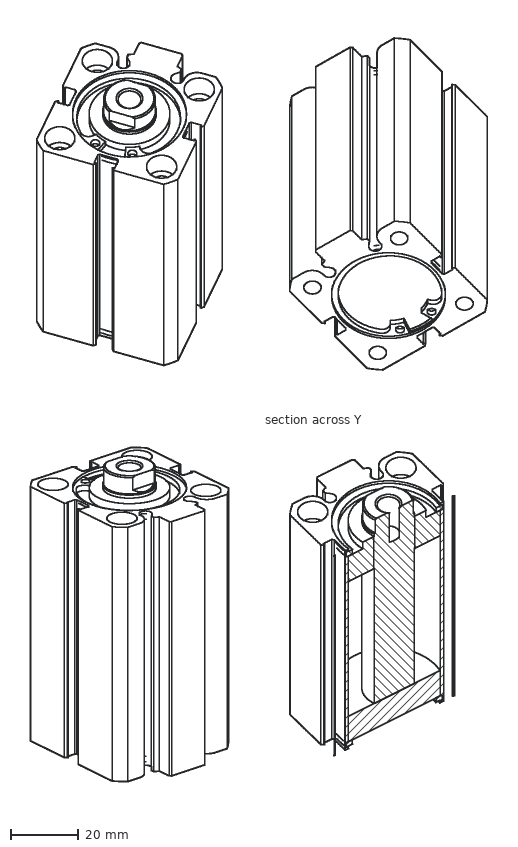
import cadquery as cq
import math


total_height = 90.0
housing_height = 83.0
half_width = 22.5
corner_inset = 3.3
tab_top = 27.5
tab_half_width = 6.9
tab_chamfer = 0.5
lug_half_width = 8.5
lug_top = 21.8
neck_half_width = 6.7
lobe_radius = 4.1
lobe_inner_x = 10.5
channel_center_y = 18.0

slot_half_width = 3.2
slot_floor = 18.0
lip_half_gap = 2.6
lip_thickness = 0.9
slot_floor_chamfer = 0.45

mount_offset = 16.2
mount_diameter = 5.1
mount_bore_diameter = 9.0
mount_bore_depth = 7.2

bore_radius = 17.0
ring_end_gap = 1.0
ring_thickness = 1.8
groove_radius = 17.8

ring_inner_radius = 15.5
ring_inner_offset = 0.7
ear_radius = 12.3
ear_half_angle = 34.4
gap_half_angle = 15.1
ear_fillet = 2.5
plier_hole_diameter = 2.6
plier_hole_radius = 14.8
plier_hole_angle = 23.5

collar_radius = 12.1
cover_thickness = 10.8

rod_radius = 8.0
rod_tip_radius = 7.7
shoulder_height = 1.0
rod_tip_chamfer = 0.45
flat_half_width = 6.6
flat_length = 4.5
thread_radius = 3.4
thread_mouth_radius = 4.0
thread_depth = 12.6
drill_half_angle = 59.0

ring_depth = ring_end_gap + ring_thickness
front_ring_bottom = housing_height - ring_depth
rear_ring_bottom = ring_end_gap
rear_cover_top = ring_depth + cover_thickness


def cylinder(radius, bottom, top):
    return cq.Workplane("XY").workplane(offset=bottom).circle(radius).extrude(top - bottom)


def wedge(half_angle, reach):
    """Flat triangle that opens from the axis towards -Y by half_angle to each side."""
    half_base = reach * math.tan(math.radians(half_angle))
    corners = [(0, 0), (-half_base, -reach), (half_base, -reach)]
    return cq.Workplane("XY").polyline(corners).close().extrude(ring_thickness)


def housing_blank():
    lobe_center_x = lobe_inner_x + lobe_radius
    lobe_center_y = half_width - lobe_radius
    lobe_diagonal = lobe_radius * math.sqrt(0.5)
    channel_radius = (lobe_inner_x - neck_half_width) / 2
    channel_center_x = (lobe_inner_x + neck_half_width) / 2
    channel_diagonal = channel_radius * math.sqrt(0.5)
    channel_end_x = channel_center_x - channel_diagonal
    channel_end_y = channel_center_y + channel_diagonal
    lug_bottom = channel_end_y + lug_half_width - channel_end_x
    corner_start = half_width - corner_inset
    corner_middle = math.hypot(half_width, corner_start) * math.sqrt(0.5)
    return (
        cq.Workplane("XY")
        .moveTo(0, -half_width)
        .lineTo(corner_start, -half_width)
        .threePointArc((corner_middle, -corner_middle), (half_width, -corner_start))
        .lineTo(half_width, corner_start)
        .threePointArc((corner_middle, corner_middle), (corner_start, half_width))
        .lineTo(lobe_center_x, half_width)
        .threePointArc(
            (lobe_center_x - lobe_diagonal, lobe_center_y + lobe_diagonal),
            (lobe_inner_x, lobe_center_y),
        )
        .lineTo(lobe_inner_x, channel_center_y)
        .threePointArc(
            (channel_center_x - channel_diagonal, channel_center_y - channel_diagonal),
            (channel_end_x, channel_end_y),
        )
        .lineTo(lug_half_width, lug_bottom)
        .lineTo(lug_half_width, lug_top)
        .lineTo(tab_half_width, half_width)
        .lineTo(tab_half_width, tab_top - tab_chamfer)
        .lineTo(tab_half_width - tab_chamfer, tab_top)
        .lineTo(0, tab_top)
        .mirrorY()
        .extrude(housing_height)
    )


def sensor_slot(angle):
    """Slot cutter in the -Y side, turned about Z by angle."""
    lip_back = half_width - lip_thickness
    lip_chamfer = slot_half_width - lip_half_gap
    return (
        cq.Workplane("XY")
        .moveTo(0, -slot_floor)
        .lineTo(slot_half_width - slot_floor_chamfer, -slot_floor)
        .lineTo(slot_half_width, -slot_floor - slot_floor_chamfer)
        .lineTo(slot_half_width, -lip_back)
        .lineTo(lip_half_gap, -lip_back)
        .lineTo(lip_half_gap, lip_chamfer - half_width)
        .lineTo(slot_half_width, -half_width)
        .lineTo(0, -half_width)
        .mirrorY()
        .extrude(housing_height)
        .rotate((0, 0, 0), (0, 0, 1), angle)
    )


def make_housing():
    body = housing_blank()
    for angle in (-90, 0, 90):
        body = body.cut(sensor_slot(angle))
    body = (
        body.faces(">Z")
        .workplane(origin=(0, 0, housing_height))
        .rect(2 * mount_offset, 2 * mount_offset, forConstruction=True)
        .vertices()
        .cboreHole(mount_diameter, mount_bore_diameter, mount_bore_depth)
    )
    body = body.cut(cylinder(bore_radius, 0, housing_height))
    for bottom in (rear_ring_bottom, front_ring_bottom):
        body = body.cut(cylinder(groove_radius, bottom, bottom + ring_thickness))
    return body


def make_retaining_ring(bottom):
    opening = (
        cq.Workplane("XY")
        .center(0, -ring_inner_offset)
        .circle(ring_inner_radius)
        .extrude(ring_thickness)
        .cut(wedge(ear_half_angle, groove_radius))
        .edges("|Z and <Y")
        .fillet(ear_fillet)
    )
    hole_angles = [math.radians(side * plier_hole_angle) for side in (-1, 1)]
    hole_points = [
        (plier_hole_radius * math.sin(angle), -plier_hole_radius * math.cos(angle))
        for angle in hole_angles
    ]
    plier_holes = (
        cq.Workplane("XY")
        .pushPoints(hole_points)
        .circle(plier_hole_diameter / 2)
        .extrude(ring_thickness)
    )
    return (
        cylinder(groove_radius, 0, ring_thickness)
        .cut(opening)
        .cut(cylinder(ear_radius, 0, ring_thickness))
        .cut(wedge(gap_half_angle, 2 * groove_radius))
        .cut(plier_holes)
        .translate((0, 0, bottom))
    )


def make_front_cover():
    flange = cylinder(bore_radius, front_ring_bottom - cover_thickness, front_ring_bottom)
    collar = cylinder(collar_radius, front_ring_bottom, housing_height)
    rod_hole = cylinder(rod_radius, front_ring_bottom - cover_thickness, housing_height)
    return flange.union(collar).cut(rod_hole)


def make_rear_cover():
    return cylinder(bore_radius, ring_depth, rear_cover_top)


def wrench_flat():
    """Cutter for the flat on the +Y side; its lower end slopes out at 45 degrees."""
    flat_bottom = total_height - flat_length
    slope = rod_radius - flat_half_width
    return (
        cq.Workplane("YZ")
        .moveTo(flat_half_width, total_height)
        .lineTo(flat_half_width, flat_bottom)
        .lineTo(rod_radius, flat_bottom - slope)
        .lineTo(rod_radius, total_height)
        .close()
        .extrude(rod_radius, both=True)
    )


def threaded_hole():
    mouth_chamfer = thread_mouth_radius - thread_radius
    thread_bottom = total_height - thread_depth
    drill_tip = thread_radius / math.tan(math.radians(drill_half_angle))
    return (
        cq.Workplane("XZ")
        .moveTo(0, total_height)
        .lineTo(thread_mouth_radius, total_height)
        .lineTo(thread_radius, total_height - mouth_chamfer)
        .lineTo(thread_radius, thread_bottom)
        .lineTo(0, thread_bottom - drill_tip)
        .close()
        .revolve(360, (0, 0, 0), (0, 1, 0))
    )


def make_piston_rod():
    shoulder = housing_height + shoulder_height
    tip_step = rod_radius - rod_tip_radius
    body = (
        cq.Workplane("XZ")
        .moveTo(0, rear_cover_top)
        .lineTo(rod_radius, rear_cover_top)
        .lineTo(rod_radius, shoulder)
        .lineTo(rod_tip_radius, shoulder + tip_step)
        .lineTo(rod_tip_radius, total_height - rod_tip_chamfer)
        .lineTo(rod_tip_radius - rod_tip_chamfer, total_height)
        .lineTo(0, total_height)
        .close()
        .revolve(360, (0, 0, 0), (0, 1, 0))
    )
    flat = wrench_flat()
    return body.cut(flat).cut(flat.mirror("XZ")).cut(threaded_hole())


housing = make_housing()
front_cover = make_front_cover()
rear_cover = make_rear_cover()
piston_rod = make_piston_rod()
retaining_rings = [make_retaining_ring(bottom) for bottom in (rear_ring_bottom, front_ring_bottom)]

result = cq.Compound.makeCompound(
    [
        housing.val(),
        front_cover.val(),
        rear_cover.val(),
        piston_rod.val(),
        *[ring.val() for ring in retaining_rings],
    ]
)